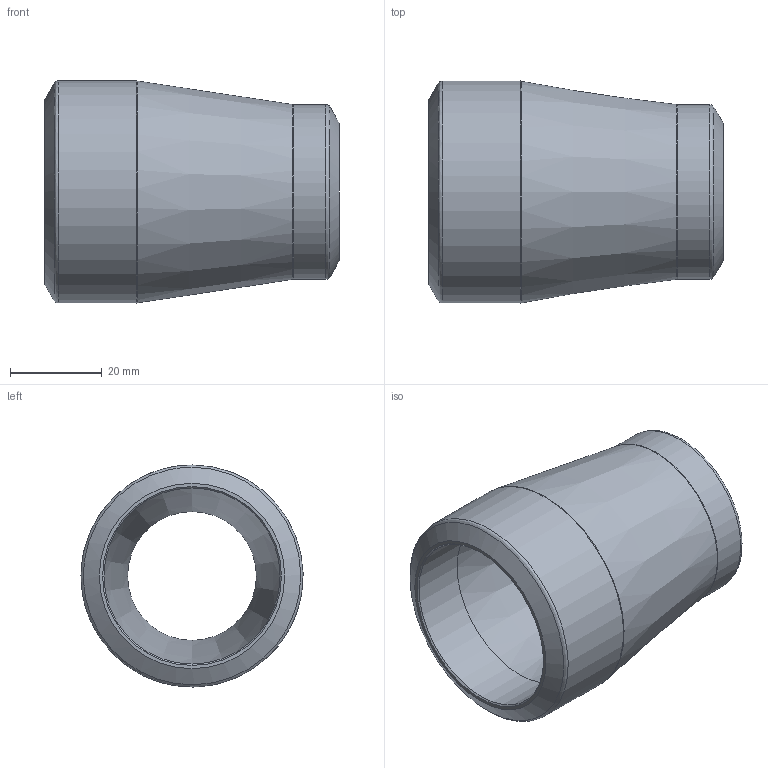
import cadquery as cq
import math

length = 64.0
wall = 5.0
large_radius = 48.3 / 2
small_radius = 38.0 / 2

large_collar_length = 20.0
small_collar_length = 10.0
large_bore_length = 12.0
small_bore_length = 18.0

land_width = 1.0
bevel_angle = math.radians(30.0)
bevel_height = wall - land_width
bevel_length = bevel_height * math.tan(bevel_angle)

outer_round_radius = 1.0
mouth_chamfer = 0.3

large_land_radius = large_radius - bevel_height
small_land_radius = small_radius - bevel_height
large_bore_radius = large_radius - wall
small_bore_radius = small_radius - wall

taper_start = large_collar_length
taper_end = length - small_collar_length
bore_taper_start = large_bore_length
bore_taper_end = length - small_bore_length


def revolve_about_axis(outline):
    """Turn (x, radius) corner points into a solid of revolution about X."""
    return cq.Workplane("XZ").polyline(outline).close().revolve(360, (0, 0, 0), (1, 0, 0))


def ring_edges(body, x, radius):
    """Select the circular edge of the body at one station and radius."""
    margin = 0.1
    reach = radius + margin
    thin_slab = cq.selectors.BoxSelector(
        (x - margin, -reach, -reach), (x + margin, reach, reach), boundingbox=True
    )
    return body.edges("%CIRCLE").edges(thin_slab)


def make_outer_body():
    """Solid outside shape with both bevels, its four outer edges rounded."""
    outline = [
        (0, 0),
        (0, large_land_radius),
        (bevel_length, large_radius),
        (taper_start, large_radius),
        (taper_end, small_radius),
        (length - bevel_length, small_radius),
        (length, small_land_radius),
        (length, 0),
    ]
    body = revolve_about_axis(outline)
    rounded_edges = [
        (bevel_length, large_radius),
        (taper_start, large_radius),
        (taper_end, small_radius),
        (length - bevel_length, small_radius),
    ]
    for x, radius in rounded_edges:
        body = ring_edges(body, x, radius).fillet(outer_round_radius)
    return body


def make_bore():
    """Through bore: straight at both ends, tapered between."""
    outline = [
        (0, 0),
        (0, large_bore_radius),
        (bore_taper_start, large_bore_radius),
        (bore_taper_end, small_bore_radius),
        (length, small_bore_radius),
        (length, 0),
    ]
    return revolve_about_axis(outline)


def chamfer_bore_mouths(body):
    """Chamfer the edge where the bore meets each end face."""
    for x, radius in [(0, large_bore_radius), (length, small_bore_radius)]:
        body = ring_edges(body, x, radius).chamfer(mouth_chamfer)
    return body


result = chamfer_bore_mouths(make_outer_body().cut(make_bore()))